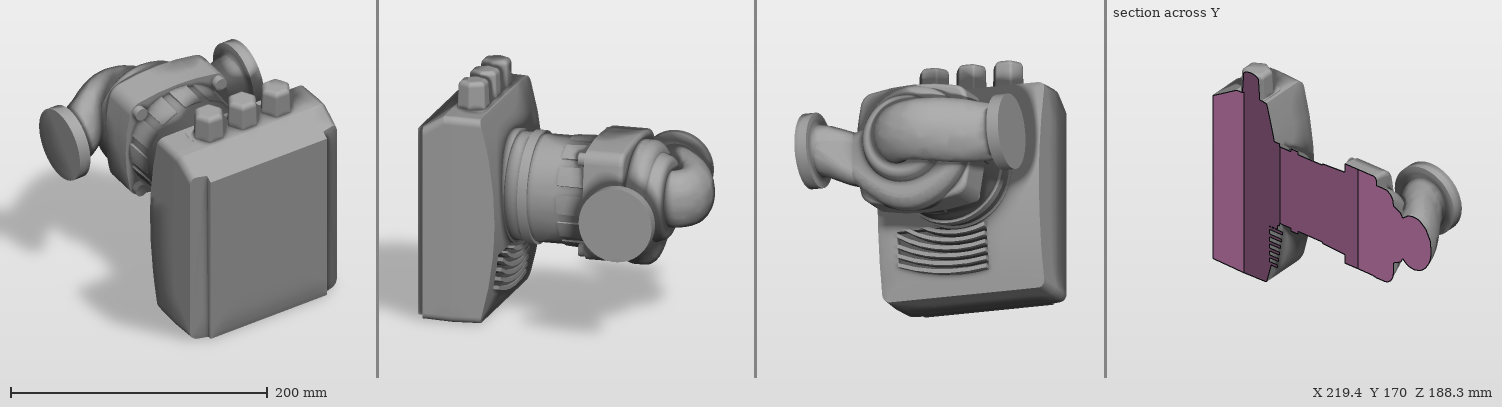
import cadquery as cq
import math


flange_radius = 29.5
flange_face_y = 85.0
flange_thickness = 9.6
flange_back_y = flange_face_y - flange_thickness
neck_length = 4.4
neck_flare = 4.8
neck_radius = 19.0

volute_back_x = 15.0
volute_front_x = -11
volute_fillet = 9.2
spiral_top_radius = 43.2
spiral_growth = 11 / 180
spiral_start_angle = 160
spiral_end_angle = -90
spiral_step = 25
outlet_root_y = 43.8
outlet_root_top_z = 10.5
outlet_root_bottom_z = -31.1
lower_lip = [(17.5, -50.0), (31.5, -41.5)]

cap_front_x = -20.4
cap_face_radius = 27.2
cap_rim_x = -16.2
cap_rim_radius = 33.0
cap_root_radius = 35
cap_round_mid = (-19.0, 31.3)

plate_corner = 42.5
plate_bulge = 48.0
plate_corner_fillet = 11.5
plate_front_x = 6.0
plate_front_fillet = 3.5
plate_joint_x = 24.5
plate_back_x = 37.5

barrel_radius = 42.5
ring_radius = 44.7
ring_front_x = 84.2
ring_back_x = 91.5
motor_end_x = 102.5
bolt_offset = 36.5
bolt_radius = 5.3
bolt_length = 5.7
pad_count = 12
pad_width = 16.0
pad_end_width = 15.0
pad_end_x = 60.3
pad_root_radius = 44.7
pad_end_radius = 43.6

box_half_width = 68.4
box_top_z = 71.0
box_bottom_z = -95.8
box_mid_z = (box_top_z + box_bottom_z) / 2
box_height = box_top_z - box_bottom_z
box_back_x = 103.2
box_back_edge_x = 115.7
box_joint_x = 138.3
box_front_x = 169.5
box_draft = 1.6
box_corner_fillet = 6.0
slope_start_x = 145.0
slope_end_z = 56.0
shoulder_outer_x = 161.5
shoulder_top_x = 164.0
shoulder_bottom_x = 166.0
panel_half_width = 53.7

gland_pad_back_x = 118.3
gland_pad_half_width = 46.7
gland_pad_corner = 4.4
gland_pad_depth = 4.4
gland_count = 3
gland_x = 131.0
gland_pitch = 31.0
gland_across_flats = 22.5
gland_top_z = 92.5
gland_draft = 2
gland_edge_fillet = 2.5
gland_top_fillet = 4.2

fin_count = 6
fin_thickness = 3.0
lowest_fin_z = -79.5
highest_fin_z = -49.5
fin_pitch = (highest_fin_z - lowest_fin_z) / (fin_count - 1)
lowest_fin_radius = 144.6
highest_fin_radius = 64.6
fin_radius_step = (lowest_fin_radius - highest_fin_radius) / (fin_count - 1)
lowest_fin_tip_x = 104.3
highest_fin_tip_x = 99.3
fin_tip_step = (lowest_fin_tip_x - highest_fin_tip_x) / (fin_count - 1)
fin_left_y = 50.6
recess_left_y = 52.0
recess_right_y = -23.0
recess_top_z = -42.0
recess_floor_x = 112.2


def disc_x(radius, start_x, end_x):
    """Cylinder along the motor axis."""
    return cq.Workplane("YZ", origin=(start_x, 0, 0)).circle(radius).extrude(end_x - start_x)


def plate(start_x, end_x):
    """Square plate whose four sides bulge outwards, with rounded corners."""
    c, b = plate_corner, plate_bulge
    outline = (
        cq.Workplane("YZ", origin=(start_x, 0, 0))
        .moveTo(-c, -c)
        .threePointArc((0, -b), (c, -c))
        .threePointArc((b, 0), (c, c))
        .threePointArc((0, b), (-c, c))
        .threePointArc((-b, 0), (-c, -c))
        .close()
    )
    return outline.extrude(end_x - start_x).edges("|X").fillet(plate_corner_fillet)


def pipe_flange(side):
    """Flange with a flared neck on the pipe axis; side is 1 for the +Y flange, -1 for the -Y one."""
    neck_y = flange_back_y - neck_length
    arc_middle = 1 - math.sqrt(0.5)
    flange = (
        cq.Workplane("XY")
        .moveTo(0, flange_face_y)
        .lineTo(flange_radius, flange_face_y)
        .lineTo(flange_radius, flange_back_y)
        .lineTo(neck_radius + neck_flare, flange_back_y)
        .threePointArc(
            (neck_radius + neck_flare * arc_middle, flange_back_y - neck_length * arc_middle),
            (neck_radius, neck_y),
        )
        .lineTo(0, neck_y)
        .close()
        .revolve(360, (0, 0, 0), (0, 1, 0))
    )
    return flange if side > 0 else flange.mirror("XZ")


def spiral_point(angle):
    """(y, z) on the volute outline, whose radius grows from +Y over the top to -Y and the bottom."""
    radius = spiral_top_radius + spiral_growth * (90 - angle)
    return (-radius * math.cos(math.radians(angle)), radius * math.sin(math.radians(angle)))


def volute():
    """Spiral chamber, opening towards +Y into the outlet pipe."""
    angles = range(spiral_start_angle, spiral_end_angle - 1, -spiral_step)
    spiral = [spiral_point(angle) for angle in angles]
    outlet_bottom = (outlet_root_y, outlet_root_bottom_z)
    return (
        cq.Workplane("YZ", origin=(volute_front_x, 0, 0))
        .moveTo(outlet_root_y, outlet_root_top_z)
        .lineTo(*spiral[0])
        .spline(spiral[1:] + lower_lip + [outlet_bottom], includeCurrent=True)
        .close()
        .extrude(volute_back_x - volute_front_x)
        .edges("not (|X or |Z)")
        .fillet(volute_fillet)
    )


def outlet_section(y, center_x, center_z, half_width, half_height, corner):
    """Rounded rectangle across the outlet pipe."""
    plane = cq.Plane(origin=(center_x, y, center_z), xDir=(1, 0, 0), normal=(0, 1, 0))
    block = cq.Workplane(plane).rect(2 * half_width, 2 * half_height).extrude(2.2)
    return block.edges("|Y").fillet(corner).faces("<Y").wires().val()


def outlet_pipe():
    """Tube from the volute to the +Y flange, turning from the volute's section to round.

    Each station is (y, center x, center z, half width in x, half height in z, corner radius).
    """
    root_z = (outlet_root_top_z + outlet_root_bottom_z) / 2
    root_half_height = (outlet_root_top_z - outlet_root_bottom_z) / 2
    root_x = (volute_front_x + volute_back_x) / 2
    root_half_width = (volute_back_x - volute_front_x) / 2
    stations = [
        (outlet_root_y, root_x, root_z, root_half_width, root_half_height, volute_fillet),
        (59.2, 1.0, -4.8, 16.7, 21.0, 13.8),
        (flange_back_y - neck_length, 0.5, -0.9, 19.3, 20.4, 17.5),
        (flange_back_y + 2.2, 0, 0, 19.7, 20.2, 18.0),
    ]
    return cq.Workplane(cq.Solid.makeLoft([outlet_section(*station) for station in stations]))


def inlet_section(x, y, heading, half_width, half_height):
    """Ellipse across the inlet pipe; heading is the flow direction in degrees from +X to +Y."""
    angle = math.radians(heading)
    plane = cq.Plane(
        origin=(x, y, 0),
        xDir=(math.sin(angle), -math.cos(angle), 0),
        normal=(math.cos(angle), math.sin(angle), 0),
    )
    return cq.Workplane(plane).ellipse(half_width, half_height).val()


def inlet_pipe():
    """Tube from the -Y flange that swings out to -X and turns into the inlet cap.

    Each station is (x, y, heading, half width, half height in z).
    """
    stations = [
        (-0.7, -flange_back_y - 2.2, 95, 20.2, 21.3),
        (-2.8, -flange_back_y + neck_length, 112, 19.7, 22),
        (-22.4, -40.5, 119, 16.2, 25.5),
        (-32.9, -13.1, 84, 16.9, 23.7),
        (-28.5, -1.8, 45, 17.5, 22.8),
        (cap_front_x + 2.2, 1.3, 0, 18.2, 22.4),
    ]
    return cq.Workplane(cq.Solid.makeLoft([inlet_section(*station) for station in stations]))


def inlet_cap():
    """Round disc on the volute with a rounded rim and a drafted side."""
    return (
        cq.Workplane("XY")
        .moveTo(cap_front_x, 0)
        .lineTo(cap_front_x, cap_face_radius)
        .threePointArc(cap_round_mid, (cap_rim_x, cap_rim_radius))
        .lineTo(volute_front_x, cap_root_radius)
        .lineTo(volute_front_x + 2.2, cap_root_radius)
        .lineTo(volute_front_x + 2.2, 0)
        .close()
        .revolve(360, (0, 0, 0), (1, 0, 0))
    )


def make_casing():
    """Wet end: volute, front plate, inlet and outlet pipes."""
    front_plate = plate(plate_front_x, plate_joint_x).faces("<X").edges().fillet(plate_front_fillet)
    core = front_plate.union(volute()).union(inlet_cap())
    outlet = outlet_pipe().union(pipe_flange(1))
    inlet = inlet_pipe().union(pipe_flange(-1))
    return core.union(outlet).union(inlet)


def motor_pad():
    """Pad on top of the barrel, tapering in height and width away from the plate."""
    plan = (
        cq.Workplane("XY")
        .polyline([
            (plate_back_x, -pad_width / 2),
            (pad_end_x, -pad_end_width / 2),
            (pad_end_x, pad_end_width / 2),
            (plate_back_x, pad_width / 2),
        ])
        .close()
        .extrude(pad_root_radius + 2.2)
    )
    crown = (
        cq.Workplane("XY")
        .polyline([
            (plate_back_x, 0),
            (pad_end_x, 0),
            (pad_end_x, pad_end_radius),
            (plate_back_x, pad_root_radius),
        ])
        .close()
        .revolve(360, (0, 0, 0), (1, 0, 0))
    )
    return plan.intersect(crown)


def make_motor():
    """Rear plate with bolts, and the barrel with its pads and ring."""
    body = plate(plate_joint_x, plate_back_x)
    body = body.union(disc_x(barrel_radius, plate_back_x, motor_end_x))
    body = body.union(disc_x(ring_radius, ring_front_x, ring_back_x))
    pad = motor_pad()
    for index in range(pad_count):
        body = body.union(pad.rotate((0, 0, 0), (1, 0, 0), index * 360 / pad_count))
    bolts = (
        cq.Workplane("YZ", origin=(plate_back_x, 0, 0))
        .rect(2 * bolt_offset, 2 * bolt_offset, forConstruction=True)
        .vertices()
        .circle(bolt_radius)
        .extrude(bolt_length)
    )
    return body.union(bolts)


def box_half(length):
    """Drafted block from the joint plane of the box; a negative length runs towards -X."""
    return (
        cq.Workplane("YZ", origin=(box_joint_x, 0, box_mid_z))
        .rect(2 * box_half_width, box_height)
        .extrude(length, taper=box_draft)
    )


def round_long_edges(body):
    """Fillet the corner edges of a box half that run along its depth."""
    return body.edges("not (|Y or #X)").fillet(box_corner_fillet)


def back_curve():
    """Solid in front of the cylindrical back surface of the box."""
    return (
        cq.Workplane("XZ")
        .moveTo(box_back_edge_x, box_bottom_z)
        .threePointArc((box_back_x, box_mid_z), (box_back_edge_x, box_top_z))
        .lineTo(box_front_x, box_top_z)
        .lineTo(box_front_x, box_bottom_z)
        .close()
        .extrude(box_half_width + 2.2, both=True)
    )


def above_arc(start_x, left_y, middle_z, radius, top_z):
    """Block whose underside is an arc with its lowest point at (y = 0, middle_z)."""
    def arc_point(y):
        return (y, middle_z + radius - math.sqrt(radius**2 - y**2))

    return (
        cq.Workplane("YZ", origin=(start_x, 0, 0))
        .moveTo(*arc_point(left_y))
        .threePointArc((0, middle_z), arc_point(recess_right_y))
        .lineTo(recess_right_y, top_z)
        .lineTo(left_y, top_z)
        .close()
        .extrude(recess_floor_x - start_x)
    )


def gland():
    """Hexagonal cable gland with corners towards +Y and -Y, standing on the box."""
    return (
        cq.Workplane("XY", origin=(gland_x, 0, box_top_z))
        .polygon(6, gland_across_flats / math.cos(math.pi / 6))
        .extrude(gland_top_z - box_top_z, taper=gland_draft)
        .rotate((gland_x, 0, 0), (gland_x, 0, 1), 30)
        .edges("not #Z")
        .fillet(gland_edge_fillet)
        .faces(">Z")
        .edges()
        .fillet(gland_top_fillet)
    )


def cooling_fin(index):
    """Curved fin, counted from the lowest, cut off level with the top of the recess."""
    bottom_z = lowest_fin_z + index * fin_pitch
    radius = lowest_fin_radius - index * fin_radius_step
    tip_x = lowest_fin_tip_x - index * fin_tip_step
    over_top = bottom_z + radius
    fin = above_arc(tip_x, fin_left_y, bottom_z, radius, over_top).cut(
        above_arc(tip_x, fin_left_y, bottom_z + fin_thickness, radius, over_top + fin_thickness)
    )
    above_recess = (
        cq.Workplane("XY", origin=(recess_floor_x, 0, recess_top_z))
        .rect(2 * recess_floor_x, 2 * box_half_width)
        .extrude(box_height)
    )
    return fin.cut(above_recess)


def finned_recess(body):
    """Recess in the box back with a stack of curved fins, each reaching further out than the last."""
    body = body.cut(
        above_arc(box_back_x - 2.2, recess_left_y, lowest_fin_z, lowest_fin_radius, recess_top_z)
    )
    for index in range(fin_count):
        body = body.union(cooling_fin(index))
    return body


def gland_pad():
    """Flat pad under the glands that evens out the draft of the housing top."""
    return (
        cq.Workplane("XY", origin=((gland_pad_back_x + box_joint_x) / 2, 0, box_top_z))
        .rect(box_joint_x - gland_pad_back_x, 2 * gland_pad_half_width)
        .extrude(-gland_pad_depth)
        .edges("|Z and <X")
        .fillet(gland_pad_corner)
    )


def make_housing():
    """Rear half of the control box, with motor collar, fins and glands."""
    block = round_long_edges(box_half(box_back_x - box_joint_x))
    body = finned_recess(block.intersect(back_curve()))
    body = body.union(disc_x(ring_radius, motor_end_x, box_joint_x)).union(gland_pad())
    for index in range(gland_count):
        gland_y = (index - (gland_count - 1) / 2) * gland_pitch
        body = body.union(gland().translate((0, gland_y, 0)))
    return body


def cover_plan(z, shoulder_x):
    """Outline of the cover at height z, with a raised panel between sloping shoulders."""
    half = [
        (box_joint_x, box_half_width),
        (shoulder_outer_x, box_half_width),
        (shoulder_x, panel_half_width),
        (box_front_x, panel_half_width),
    ]
    other_half = [(x, -y) for x, y in reversed(half)]
    return cq.Workplane("XY", origin=(0, 0, z)).polyline(half + other_half).close().val()


def make_cover():
    """Front half of the control box, with a sloping top and a raised panel."""
    body = box_half(box_front_x - box_joint_x)
    slope = (
        cq.Workplane("XZ")
        .polyline([
            (slope_start_x, box_top_z),
            (box_front_x, slope_end_z),
            (box_front_x, box_top_z),
        ])
        .close()
        .extrude(box_half_width + 2.2, both=True)
    )
    body = round_long_edges(body.cut(slope))
    plan = cq.Solid.makeLoft([
        cover_plan(box_bottom_z, shoulder_bottom_x),
        cover_plan(box_top_z, shoulder_top_x),
    ])
    return body.intersect(cq.Workplane(plan))


casing = make_casing()
motor = make_motor()
housing = make_housing()
cover = make_cover()

result = cq.Compound.makeCompound([
    casing.solids().val(),
    motor.solids().val(),
    housing.solids().val(),
    cover.solids().val(),
])